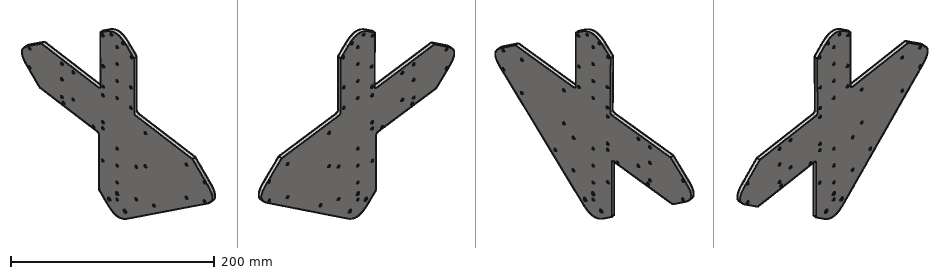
import cadquery as cq
import math


thickness = 4.0
square_side = 200.0
overall_span = 269.12
half_diagonal = square_side / math.sqrt(2)
tip_setback = 20.0
tip_half_width = tip_setback / math.sqrt(2)
tip_start = half_diagonal - tip_half_width
tip_handle = (overall_span / 2 - tip_start) * 4 / 3

top_arm_half_width = 24.0
top_arm_root_left = -23.35
side_arm_top = 35.0
left_arm_root_top = 34.6
left_arm_bottom = -32.0
bottom_arm_left = -25.5
notch_radius = 3.0

small_diameter = 2.75
medium_diameter = 2.9
screw_diameter = 3.0
large_diameter = 4.0

column_pitch = 25.0
upper_column_start = 40.0
lower_column_start = -35.0
column_count = 4
center_column = [
    (0, start + direction * column_pitch * i)
    for start, direction in ((upper_column_start, 1), (lower_column_start, -1))
    for i in range(column_count)
]

mirrored_top_arm = [(8.25, 127.2), (20.4, 116.1), (19.5, 71.1), (19.5, 41.0)]
top_arm_holes = [(side * x, z) for x, z in mirrored_top_arm for side in (-1, 1)]

tip_hole_x = 123.5
tip_hole_z = 14.0
tip_holes = [(sx * tip_hole_x, sz * tip_hole_z) for sx in (-1, 1) for sz in (-1, 1)]

right_arm_holes = [(x, z) for x in (40, 98) for z in (20, -29)]

left_arm_holes = [
    (-78, 28), (-62, 28), (-20, 28),
    (-78, 5), (-62, -12), (-20, -12),
    (-75.5, -28), (-33.6, -29.6),
]
left_arm_small_holes = [(-78, -21), (-20, -21), (-20.3, -68.9)]

diagonal_edge_holes = [(27, -40), (27, -88), (52.1, -77.4)]

bottom_tip_holes = [(0, -101.5), (-11.1, -118.5), (11.1, -118.5)]


def extrude_toward_back(sketch):
    """Extrude an XZ sketch from the front face (y = 0) to y = thickness."""
    return sketch.extrude(-thickness)


def quarter_turns(point, turns):
    """Rotate an (x, z) point about the origin by a number of quarter turns."""
    x, z = point
    for _ in range(turns):
        x, z = -z, x
    return (x, z)


def rounded_square():
    """Square standing on a corner, each corner replaced by a smooth curve tangent to both sides."""
    tip_curve = [
        (tip_start, -tip_half_width),
        (tip_start + tip_handle, tip_handle - tip_half_width),
        (tip_start + tip_handle, tip_half_width - tip_handle),
        (tip_start, tip_half_width),
    ]
    outline = cq.Workplane("XZ").moveTo(*tip_curve[0])
    for turns in range(4):
        points = [quarter_turns(point, turns) for point in tip_curve]
        if turns > 0:
            outline = outline.lineTo(*points[0])
        outline = outline.bezier(points)
    return extrude_toward_back(outline.close())


def notch(corner, along_x, along_z):
    """Cutter for the space between two arms; `corner` is its rounded inner corner."""
    outside = (along_x[0], along_z[1])
    outline = cq.Workplane("XZ").polyline([corner, along_x, outside, along_z]).close()
    inner_corner = cq.selectors.NearestToPointSelector((corner[0], thickness / 2, corner[1]))
    return extrude_toward_back(outline).edges("|Y").edges(inner_corner).fillet(notch_radius)


def drill(plate, points, diameter):
    """Cut round holes through the full thickness at the given (x, z) points."""
    return plate.cut(extrude_toward_back(cq.Workplane("XZ").pushPoints(points).circle(diameter / 2)))


side_arm_end = half_diagonal - side_arm_top
top_arm_end = half_diagonal - top_arm_half_width
left_arm_end = half_diagonal + left_arm_bottom
bottom_arm_end = half_diagonal + bottom_arm_left

upper_right_notch = notch(
    (top_arm_half_width, side_arm_top),
    (side_arm_end, side_arm_top),
    (top_arm_half_width, top_arm_end),
)
upper_left_notch = notch(
    (top_arm_root_left, left_arm_root_top),
    (-side_arm_end, side_arm_top),
    (-top_arm_half_width, top_arm_end),
)
lower_left_notch = notch(
    (bottom_arm_left, left_arm_bottom),
    (-left_arm_end, left_arm_bottom),
    (bottom_arm_left, -bottom_arm_end),
)

plate = rounded_square()
for cutter in (upper_right_notch, upper_left_notch, lower_left_notch):
    plate = plate.cut(cutter)

plate = drill(plate, center_column, small_diameter)
plate = drill(plate, left_arm_small_holes, small_diameter)
plate = drill(plate, top_arm_holes, medium_diameter)
plate = drill(plate, right_arm_holes, medium_diameter)
plate = drill(plate, left_arm_holes, screw_diameter)
plate = drill(plate, tip_holes, screw_diameter)
plate = drill(plate, diagonal_edge_holes, screw_diameter)
plate = drill(plate, bottom_tip_holes, large_diameter)

result = plate